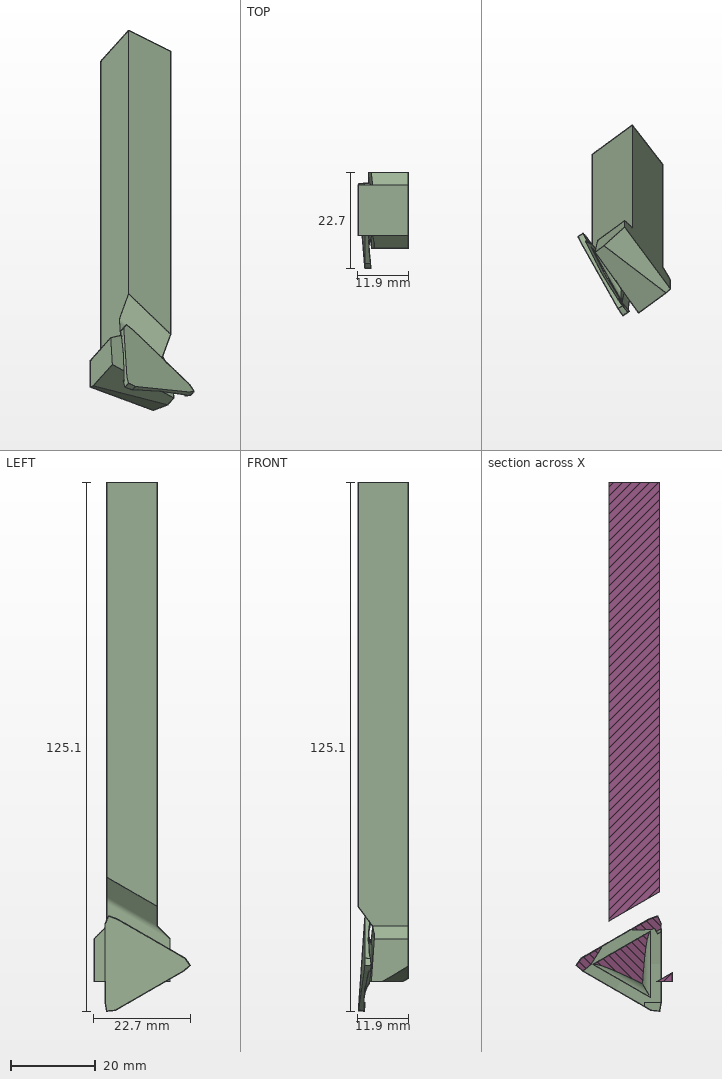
import cadquery as cq
import math

HOLDER_TOP = 125.1
SHANK_X = 11.9
SHANK_Y = 12.0
HEAD_BOTTOM = 7.0
HEAD_TOP = 20.1
HEAD_OVERHANG = 3.0

FACET_START_X = 5.8
FACET_SLOPE = 0.6
FACET_SKEW = 0.16

SEAT_TURN = math.radians(30)
SEAT_LEAN = math.radians(4.6)
INSERT_THICKNESS = 2.0

POCKET_CORNER = 10.0
POCKET_SLOPE = math.radians(45)
POCKET_RADIUS = 1.6

CORNERS = 3
INRADIUS = 7.1
TIP_REACH = 11.1
TIP_INSET = 0.4
RAKE_LENGTH = 2.1
EDGE_RELIEF = 0.19
RIM_THICKNESS = 1.1
RIM_WAIST = 0.8
WAIST_HALF_LENGTH = 8.8
TIP_THICKNESS = 1.5
PAD_END = 3.1
BOSS_INRADIUS = 2.6
BOSS_TURN = 30
FLANK_RADIUS = 2.5
BOSS_HEIGHT = INSERT_THICKNESS - RIM_THICKNESS
FLANK_RUN = math.sqrt(FLANK_RADIUS**2 - (FLANK_RADIUS - BOSS_HEIGHT) ** 2)
BOSS_FOOT = BOSS_INRADIUS + FLANK_RUN
TIP_DIP = 0.06
INSERT_CENTRE = (1.1, 5.3, TIP_REACH + TIP_DIP)
REACH = 37.5

along_seat = cq.Vector(0, -math.cos(SEAT_TURN), -math.sin(SEAT_TURN))
seat_rise = cq.Vector(0, -math.sin(SEAT_TURN), math.cos(SEAT_TURN))
outward = cq.Vector(-math.cos(SEAT_LEAN), 0, 0) + seat_rise * math.sin(SEAT_LEAN)
insert_plane = cq.Plane(INSERT_CENTRE, xDir=along_seat, normal=outward)


def make_blank():
    """Shank and shouldered head in one piece."""
    front = -HEAD_OVERHANG
    back = SHANK_Y + HEAD_OVERHANG
    shoulder = HEAD_TOP - HEAD_OVERHANG
    outline = [
        (front, HEAD_BOTTOM), (back, HEAD_BOTTOM), (back, shoulder), (SHANK_Y, HEAD_TOP),
        (SHANK_Y, HOLDER_TOP), (0, HOLDER_TOP), (0, HEAD_TOP), (front, shoulder),
    ]
    return cq.Workplane("YZ").polyline(outline).close().extrude(SHANK_X)


def make_pocket_cut():
    """Prism along the seat: leaning seat, rounded corner and sloping upper wall."""
    profile_plane = cq.Plane(INSERT_CENTRE, xDir=outward, normal=along_seat * -1)
    seat = -INSERT_THICKNESS
    tangent = POCKET_RADIUS * math.tan(POCKET_SLOPE / 2)
    wall_start = (seat + tangent * math.sin(POCKET_SLOPE), POCKET_CORNER + tangent * math.cos(POCKET_SLOPE))
    wall_end = (seat + REACH * math.sin(POCKET_SLOPE), POCKET_CORNER + REACH * math.cos(POCKET_SLOPE))
    return (
        cq.Workplane(profile_plane)
        .moveTo(seat, -REACH)
        .lineTo(seat, POCKET_CORNER - tangent)
        .tangentArcPoint(wall_start, relative=False)
        .lineTo(*wall_end)
        .lineTo(wall_end[0], -REACH)
        .close()
        .extrude(REACH, both=True)
    )


def make_facet_cut():
    """Block below the clearance plane on the lower front corner."""
    facet_plane = cq.Plane(
        (FACET_START_X, -HEAD_OVERHANG, HEAD_BOTTOM), normal=(FACET_SLOPE, -FACET_SKEW, -1)
    )
    return cq.Workplane(facet_plane).rect(2 * REACH, 2 * REACH).extrude(REACH)


def make_holder():
    return make_blank().cut(make_pocket_cut()).cut(make_facet_cut())


def rotate_point(point, angle):
    x, y = point
    return (x * math.cos(angle) - y * math.sin(angle), x * math.sin(angle) + y * math.cos(angle))


def insert_outline():
    """Three long sides, each ending in a rake face and a cutting edge."""
    half_step = math.pi / CORNERS
    edge_end_x = TIP_REACH - EDGE_RELIEF
    edge_end_y = (edge_end_x * math.sin(half_step) - INRADIUS) / math.cos(half_step)
    tip = [
        (RAKE_LENGTH - TIP_REACH, INRADIUS),
        (-TIP_REACH, INRADIUS - TIP_INSET),
        (-edge_end_x, edge_end_y),
    ]
    return [rotate_point(point, i * 2 * half_step) for i in range(CORNERS) for point in tip]


def insert_prism(thickness):
    return cq.Workplane("XY").polyline(insert_outline()).close().extrude(-thickness)


def around_insert(shape):
    """One copy of a shape for each corner of the insert."""
    return [shape.rotate((0, 0, 0), (0, 0, 1), i * 360 / CORNERS) for i in range(CORNERS)]


def make_rim():
    """Thin plate whose back face falls away in a shallow vee along each long side."""
    vee = [(-WAIST_HALF_LENGTH, -RIM_THICKNESS), (0, -RIM_WAIST), (WAIST_HALF_LENGTH, -RIM_THICKNESS)]
    vee_cut = (
        cq.Workplane("XZ")
        .workplane(offset=-BOSS_FOOT)
        .polyline(vee)
        .close()
        .extrude(-REACH)
    )
    rim = insert_prism(RIM_THICKNESS)
    for cut in around_insert(vee_cut):
        rim = rim.cut(cut)
    return rim


def make_boss():
    """Three-sided pad on the back face, with concave arc flanks down to the rim."""
    corner_circle = 2 * BOSS_FOOT / math.cos(math.pi / CORNERS)
    boss = (
        cq.Workplane("XY")
        .workplane(offset=-RIM_THICKNESS)
        .polygon(CORNERS, corner_circle)
        .extrude(-BOSS_HEIGHT)
        .rotate((0, 0, 0), (0, 0, 1), BOSS_TURN)
    )
    flank_cut = (
        cq.Workplane("YZ")
        .moveTo(INRADIUS, -RIM_THICKNESS)
        .lineTo(BOSS_FOOT, -RIM_THICKNESS)
        .tangentArcPoint((BOSS_INRADIUS, -INSERT_THICKNESS), relative=False)
        .lineTo(INRADIUS, -INSERT_THICKNESS)
        .close()
        .extrude(REACH, both=True)
    )
    for cut in around_insert(flank_cut):
        boss = boss.cut(cut)
    return boss


def make_tip_pads():
    """Thicker cutting tips, thinning from the rake face along the cutting edge."""
    profile = [(INRADIUS, 0), (INRADIUS, -TIP_THICKNESS), (PAD_END, -RIM_THICKNESS), (PAD_END, 0)]
    wedge = (
        cq.Workplane("YZ")
        .workplane(offset=RAKE_LENGTH - TIP_REACH)
        .polyline(profile)
        .close()
        .extrude(-REACH)
    )
    return around_insert(wedge.intersect(insert_prism(INSERT_THICKNESS)))


def make_insert():
    insert = make_rim().union(make_boss())
    for pad in make_tip_pads():
        insert = insert.union(pad)
    return cq.Workplane(insert.val().moved(cq.Location(insert_plane)))


holder = make_holder()
insert = make_insert()
result = cq.Compound.makeCompound([holder.val(), insert.val()])